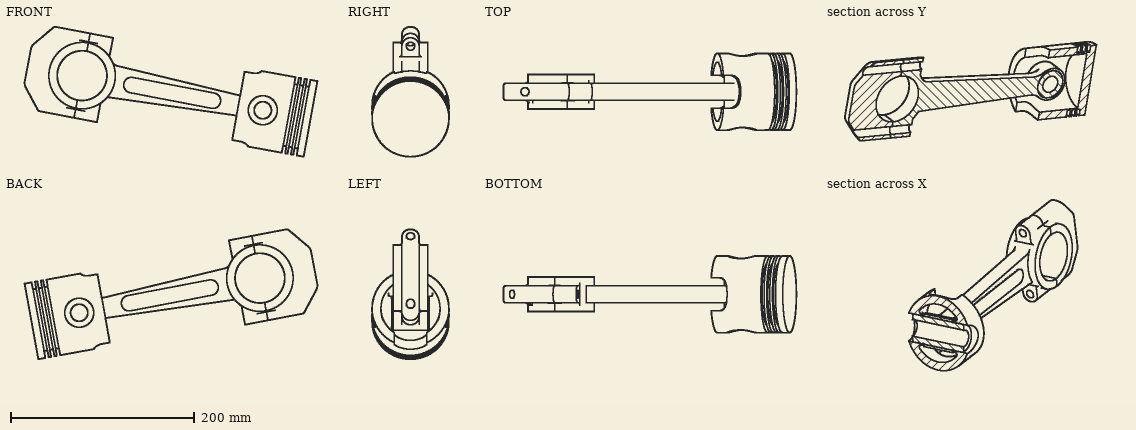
import cadquery as cq
import math


rod_tilt = 10.85
piston_tilt = 10.3
rod_length = 201.0

plate_thickness = 19.0
crank_bore_diameter = 54.0
ring_diameter = 72.5
ring_width = 37.7
ring_fillet = 2.5
lug_half_height = 47.0
lug_round = plate_thickness / 2
lug_length = 25.5
bolt_hole_diameter = 9.0
bolt_offset = lug_half_height - lug_round

cap_reach = 60.5
cap_face_half_height = 21.5
cap_top_start = 39.5
cap_corner_radius = 10.2
cap_edge_fillet = 3.0

shank_crank_half_height = 19.5
shank_pin_half_height = 10.0
shank_crank_fillet = 7.7
shank_pin_fillet = 19.2
pocket_start = 46.5
pocket_end = 153.8
pocket_width = 17.0
pocket_depth = 2.5
pocket_floor_fillet = 2.0

eye_diameter = 38.5
pin_diameter = 31.7
pin_bore_diameter = 18.5
pin_length = 67.8
pin_edge_fillet = 1.5

piston_diameter = 84.0
skirt_length = 27.2
crown_height = 53.0
cavity_diameter = 64.5
cavity_top = 41.5
boss_diameter = 35.8
boss_gap = 41.0
boss_root_fillet = 2.5
ring_groove_count = 3
groove_width = 3.5
groove_depth = 7.7
groove_pitch = 6.5
top_land = 8.0
skirt_slot_width = 35.8
skirt_slot_depth = 18.5
skirt_slot_end_radius = 41.5
skirt_slot_corner_radius = 8.5

AXIS_START = (0, 0, 0)
AXIS_END = (0, 1, 0)


def cross_cylinder(diameter, length, x=0):
    """Cylinder along Y, centred on the XZ plane."""
    return cq.Workplane("XZ").center(x, 0).circle(diameter / 2).extrude(length / 2, both=True)


def axial_cylinder(diameter, start, end):
    """Cylinder along X between two stations."""
    return cq.Workplane("YZ", origin=(start, 0, 0)).circle(diameter / 2).extrude(end - start)


def rounded_lugs(plate):
    """Round the top and bottom edges of a plate to full half circles."""
    envelope = (
        cq.Workplane("YZ", origin=(-cap_reach, 0, 0))
        .slot2D(2 * lug_half_height, plate_thickness, 90)
        .extrude(cap_reach + lug_length)
    )
    return plate.intersect(envelope)


def flared_ring(start, end):
    """Bearing ring between two X stations, with a concave fillet where it leaves the plate."""
    radius = ring_diameter / 2
    face = plate_thickness / 2
    blend = ring_fillet * (1 - math.sqrt(0.5))
    flare = (
        cq.Workplane("XY")
        .lineTo(radius + ring_fillet, 0)
        .lineTo(radius + ring_fillet, face)
        .threePointArc((radius + blend, face + blend), (radius, face + ring_fillet))
        .lineTo(0, face + ring_fillet)
        .close()
        .revolve(360, AXIS_START, AXIS_END)
    )
    flare = flare.union(flare.mirror("XZ"))
    flat_of_plate = cq.Workplane("XY").box(end - start, ring_width, 2 * bolt_offset)
    flat_of_plate = flat_of_plate.translate(((start + end) / 2, 0, 0))
    return flare.intersect(flat_of_plate)


def bolt_holes():
    holes = cq.Workplane("YZ", origin=(-cap_reach, 0, 0))
    holes = holes.pushPoints([(0, bolt_offset), (0, -bolt_offset)])
    return holes.circle(bolt_hole_diameter / 2).extrude(cap_reach + lug_length)


def half_space(direction):
    """Block on one side of the joint plane between cap (-1) and rod (+1)."""
    size = 2 * rod_length
    return cq.Workplane("XY").box(size, size, size).translate((direction * size / 2, 0, 0))


def make_cap():
    outline = [
        (0, lug_half_height),
        (-cap_top_start, lug_half_height),
        (-cap_reach, cap_face_half_height),
        (-cap_reach, -cap_face_half_height),
        (-cap_top_start, -lug_half_height),
        (0, -lug_half_height),
    ]
    plate = cq.Workplane("XZ").polyline(outline).close().extrude(plate_thickness / 2, both=True)
    plate = plate.faces("<X").edges("|Y").fillet(cap_corner_radius)
    plate = rounded_lugs(plate)
    plate = plate.faces("<X").edges("|Z").fillet(cap_edge_fillet)
    ring = cross_cylinder(ring_diameter, ring_width).intersect(half_space(-1))
    cap = plate.union(ring).union(flared_ring(-cap_reach, 0))
    return cap.cut(cross_cylinder(crank_bore_diameter, ring_width)).cut(bolt_holes())


def make_shank():
    """Tapered shank blended into the crank ring (upper side) and the eye (both sides)."""
    outline = [
        (0, shank_crank_half_height),
        (rod_length, shank_pin_half_height),
        (rod_length, -shank_pin_half_height),
        (0, -shank_crank_half_height),
    ]
    shank = cq.Workplane("XZ").polyline(outline).close().extrude(plate_thickness / 2, both=True)
    shank = shank.union(cross_cylinder(ring_diameter, ring_width))
    shank = shank.union(cross_cylinder(eye_diameter, ring_width, rod_length))
    ring_corner = cq.selectors.NearestToPointSelector((ring_diameter / 2, 0, shank_crank_half_height))
    shank = shank.edges("|Y").edges(ring_corner).fillet(shank_crank_fillet)
    for side in (1, -1):
        corner = (rod_length - eye_diameter / 2, 0, side * shank_pin_half_height)
        eye_corner = cq.selectors.NearestToPointSelector(corner)
        shank = shank.edges("|Y").edges(eye_corner).fillet(shank_pin_fillet)
    return shank


def shank_pocket():
    """Blind slot with a rounded floor edge, cut into the -Y face of the shank."""
    face = plate_thickness / 2
    pocket = (
        cq.Workplane("XZ", origin=((pocket_start + pocket_end) / 2, -face, 0))
        .slot2D(pocket_end - pocket_start, pocket_width)
        .extrude(-pocket_depth)
    )
    return pocket.faces(">Y").edges().fillet(pocket_floor_fillet)


def make_rod():
    lug = cq.Workplane("XY").box(lug_length, plate_thickness, 2 * lug_half_height)
    lug = rounded_lugs(lug.translate((lug_length / 2, 0, 0)))
    rod = make_shank().intersect(half_space(1))
    rod = rod.union(lug).union(flared_ring(0, lug_length))
    pocket = shank_pocket()
    rod = rod.cut(pocket).cut(pocket.mirror("XZ"))
    rod = rod.cut(cross_cylinder(crank_bore_diameter, ring_width)).cut(bolt_holes())
    return rod.cut(cross_cylinder(pin_diameter, ring_width, rod_length))


def make_pin():
    pin = cross_cylinder(pin_diameter, pin_length).faces("<Y or >Y").edges().fillet(pin_edge_fillet)
    return pin.cut(cross_cylinder(pin_bore_diameter, pin_length))


def ring_groove(end):
    """Groove for a piston ring, with its crown-side wall at station `end`."""
    outer = axial_cylinder(piston_diameter, end - groove_width, end)
    inner = axial_cylinder(piston_diameter - 2 * groove_depth, end - groove_width, end)
    return outer.cut(inner)


def skirt_slot():
    """Slot through the skirt from above to below, with an arched end and rounded corners."""
    half_width = skirt_slot_width / 2
    end = skirt_slot_depth - skirt_length
    rise = skirt_slot_end_radius - math.sqrt(skirt_slot_end_radius**2 - half_width**2)
    slot = (
        cq.Workplane("XY")
        .moveTo(-skirt_length, -half_width)
        .lineTo(end - rise, -half_width)
        .threePointArc((end, 0), (end - rise, half_width))
        .lineTo(-skirt_length, half_width)
        .close()
        .extrude(piston_diameter / 2, both=True)
    )
    return slot.edges("|Z").edges(">X").fillet(skirt_slot_corner_radius)


def make_piston():
    piston = axial_cylinder(piston_diameter, -skirt_length, crown_height)
    piston = piston.cut(axial_cylinder(cavity_diameter, -skirt_length, cavity_top))
    bosses = cross_cylinder(boss_diameter, cavity_diameter).cut(cross_cylinder(boss_diameter, boss_gap))
    piston = piston.union(bosses)
    for side in (1, -1):
        root = cq.selectors.NearestToPointSelector((0, side * cavity_diameter / 2, 0))
        piston = piston.edges(root).fillet(boss_root_fillet)
    for index in range(ring_groove_count):
        piston = piston.cut(ring_groove(crown_height - top_land - index * groove_pitch))
    return piston.cut(skirt_slot()).cut(cross_cylinder(pin_diameter, piston_diameter))


def tilted(body, angle):
    return body.rotate(AXIS_START, AXIS_END, angle)


tilt = math.radians(rod_tilt)
pin_place = (rod_length * math.cos(tilt), 0, -rod_length * math.sin(tilt))

cap = tilted(make_cap(), rod_tilt)
rod = tilted(make_rod(), rod_tilt)
piston = tilted(make_piston(), piston_tilt).translate(pin_place)
pin = make_pin().translate(pin_place)

result = cq.Compound.makeCompound([cap.val(), rod.val(), piston.val(), pin.val()])